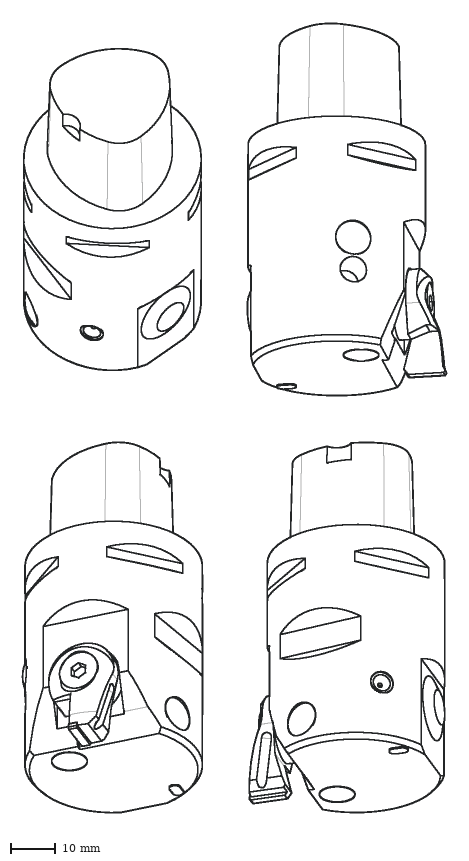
import cadquery as cq
import math


body_radius = 20.0
body_length = 53.2
bottom_chamfer_radial = 1.0
bottom_chamfer_height = 1.2

shank_length = 24.0
shank_mean_radius = 14.12
shank_lobe = 0.98
shank_taper = 1 / 40
lobe_half_angle = 28.0
key_diameter = 6.8
key_wall_y = -10.8
key_depth = 4.2

gripper_flat_distance = 17.67
gripper_z = -7.95
gripper_flat_height = 2.5
gripper_flank_slope = 0.56

seat_x = -17.15
seat_top_z = -22.9
axis_z = -39.0
wide_flat_angle = 10.0
wide_flat_height = 6.0

dial_flat_x = 18.15
dial_flat_top_z = -30.5

relief_foot_x = -12.5
steep_relief_top_z = -47.6
steep_relief_angle = 30.0
steep_relief_edge_y = 3.75
pocket_radius = 8.15
pocket_floor_x = -14.05

pad_length = 4.4
pad_width = 2.6
pad_height = 0.3
pad_x = 13.25
pad_y = -9.9

plug_diameter = 8.02
plug_length = 5.0
plug_dome_height = 1.1
plug_rim_radius = 19.45
plug_angle = 21.0
front_plug_z = -46.5
back_plug_z = -28.7
bottom_plug_x = -7.0
bottom_plug_y = 7.95
bottom_plug_rim_z = -53.05
side_hole_diameter = 6.0
side_hole_z = -36.3
side_hole_depth = 10.0

lock_diameter = 5.25
lock_length = 8.0
lock_angle = 35.0
lock_end_radius = 19.6
lock_cup_diameter = 4.0
lock_cup_depth = 1.3
lock_bore_diameter = 1.0
lock_bore_depth = 1.0

dial_base_diameter = 14.75
dial_top_diameter = 8.0
dial_height = 1.6

cutter_radius = 7.9
cutter_front_radius = 16.5
cutter_bevel_x = -19.66
cutter_head_x = -21.7
cutter_relief_z = -51.9
cutter_relief_x = -24.3
cutter_edge_x = -24.6
lip_top_z = -54.5
lip_tip_z = -55.6
lip_width = 2.0
lip_depth = 2.5
cutter_flare_top_z = -48.0
cutter_heel_x = -15.55
cutter_heel_z = -54.7
cutter_edge_y = 1.1
cutter_bottom_z = -56.0
cutter_tip_x = -25.0
head_lip_z = -47.7
head_lip_rise = 1.6
head_side_top = (7.6, -41.2)
head_side_middle = (6.8, -43.8)
head_side_bottom = (4.9, head_lip_z)
blade_side_top = (-7.7, -40.8)
blade_side_bottom = (-5.1, -53.2)
blade_corner_y = -3.4
blade_bottom_z = -55.25
coolant_groove_diameter = 2.4
coolant_groove_start = (-18.9, -7.3, -44.1)
coolant_groove_end = (-21.0, -4.9, -55.0)
countersink_depth = 4.0

screw_head_diameter = 9.2
screw_face_x = -21.5
screw_head_thickness = 2.5
screw_shank_diameter = 5.0
screw_end_x = pocket_floor_x + 8.0
screw_hex_diameter = 3.9
screw_hex_depth = 1.8

big = 60.0
bore_overrun = 3.0


def radial_plane(angle, distance, z):
    """Plane at a distance from the Z axis, facing outward; angle in degrees from +X."""
    direction = (math.cos(math.radians(angle)), math.sin(math.radians(angle)), 0)
    origin = (distance * direction[0], distance * direction[1], z)
    tangent = (-direction[1], direction[0], 0)
    return cq.Plane(origin=origin, xDir=tangent, normal=direction)


def profile_xz(points, y_low, y_high):
    """Closed X-Z polygon extruded between two Y levels."""
    return cq.Workplane("XZ", origin=(0, y_high, 0)).polyline(points).close().extrude(y_high - y_low)


def flank_cut(angle, distance, z_top, z_bottom, slope_top, slope_bottom):
    """Tool that mills a flat at a distance from the axis, with sloping upper and lower flanks."""
    depth = body_radius + 1 - distance
    points = [
        (distance, z_top),
        (distance, z_bottom),
        (distance + depth, z_bottom - slope_bottom * depth),
        (distance + depth, z_top + slope_top * depth),
    ]
    return profile_xz(points, -body_radius, body_radius).rotate((0, 0, 0), (0, 0, 1), angle)


def lobe_point(normal_angle, mean_radius):
    """Point of the constant-width three-lobed curve whose normal has the given angle (degrees)."""
    phi = math.radians(normal_angle)
    from_lobe = 3 * (phi - math.pi / 2)
    support = mean_radius + shank_lobe * math.cos(from_lobe)
    slope = -3 * shank_lobe * math.sin(from_lobe)
    x = support * math.cos(phi) - slope * math.sin(phi)
    y = support * math.sin(phi) + slope * math.cos(phi)
    return (x, y)


def add_lobed_outline(work, mean_radius):
    """Lobed outline: an arc round each lobe and an arc along each side."""
    lobe_angles = [90, 210, 330]
    work = work.moveTo(*lobe_point(lobe_angles[0] - lobe_half_angle, mean_radius))
    for lobe in lobe_angles:
        lobe_end = lobe_point(lobe + lobe_half_angle, mean_radius)
        side_end = lobe_point(lobe + 120 - lobe_half_angle, mean_radius)
        work = work.threePointArc(lobe_point(lobe, mean_radius), lobe_end)
        work = work.threePointArc(lobe_point(lobe + 60, mean_radius), side_end)
    return work.close()


def make_shank():
    top_radius = shank_mean_radius - shank_taper * shank_length
    shank = add_lobed_outline(cq.Workplane("XY"), shank_mean_radius)
    shank = add_lobed_outline(shank.workplane(offset=shank_length), top_radius).loft(ruled=True)
    key_y = key_wall_y - key_diameter / 2
    key = (
        cq.Workplane("XY", origin=(0, key_y, shank_length - key_depth))
        .circle(key_diameter / 2)
        .extrude(key_depth)
    )
    return shank.cut(key)


plug_planes = [
    radial_plane(270 - plug_angle, plug_rim_radius, front_plug_z),
    radial_plane(90 + plug_angle, plug_rim_radius, back_plug_z),
    cq.Plane(origin=(bottom_plug_x, bottom_plug_y, bottom_plug_rim_z), normal=(0, 0, -1)),
]
lock_plane = radial_plane(270 + lock_angle, lock_end_radius, axis_z)


def bore(plane, diameter, depth):
    """Round hole tool reaching a depth below the plane and clear of the part above it."""
    return cq.Workplane(plane).workplane(offset=-depth).circle(diameter / 2).extrude(depth + bore_overrun)


def make_plug(plane):
    """Round plug with a domed outer end; its rim lies in the plane."""
    half = plug_diameter / 2
    sphere_radius = (half**2 + plug_dome_height**2) / (2 * plug_dome_height)
    barrel = cq.Workplane(plane).workplane(offset=-plug_length).circle(half)
    barrel = barrel.extrude(plug_length + plug_dome_height)
    ball = cq.Workplane(plane).workplane(offset=plug_dome_height - sphere_radius).sphere(sphere_radius)
    return barrel.intersect(ball)


def make_lock_screw():
    screw = cq.Workplane(lock_plane).workplane(offset=-lock_length).circle(lock_diameter / 2)
    screw = screw.extrude(lock_length)
    cup = (
        cq.Workplane(lock_plane)
        .circle(lock_cup_diameter / 2)
        .workplane(offset=-lock_cup_depth)
        .circle(lock_bore_diameter / 2)
        .loft()
    )
    centre = cq.Workplane(lock_plane).circle(lock_bore_diameter / 2)
    centre = centre.extrude(-lock_cup_depth - lock_bore_depth)
    return screw.cut(cup).cut(centre)


def make_dial():
    return (
        cq.Workplane("YZ", origin=(dial_flat_x, 0, axis_z))
        .circle(dial_base_diameter / 2)
        .workplane(offset=dial_height)
        .circle(dial_top_diameter / 2)
        .loft()
    )


def make_clamp_screw():
    """Full screw without its socket, which also serves as the tool for its hole."""
    start = cq.Workplane("YZ", origin=(screw_face_x, 0, axis_z))
    head = start.circle(screw_head_diameter / 2).extrude(screw_head_thickness)
    shank = start.circle(screw_shank_diameter / 2).extrude(screw_end_x - screw_face_x)
    return head.union(shank)


def cut_hex_socket(screw):
    socket = cq.Workplane("YZ", origin=(screw_face_x, 0, axis_z)).transformed(rotate=(0, 0, 90))
    return screw.cut(socket.polygon(6, screw_hex_diameter).extrude(screw_hex_depth))


def make_cutter_outline():
    """Outline across Y-Z: round head running down into the narrow cutting blade."""
    head_top = (0, axis_z + cutter_radius)
    lip_side_y = cutter_edge_y - lip_width
    return (
        cq.Workplane("YZ", origin=(cutter_tip_x, 0, 0))
        .moveTo(*blade_side_top)
        .threePointArc(head_top, head_side_top)
        .threePointArc(head_side_middle, head_side_bottom)
        .lineTo(cutter_edge_y, head_lip_z)
        .lineTo(cutter_edge_y, cutter_bottom_z)
        .lineTo(lip_side_y, cutter_bottom_z)
        .lineTo(lip_side_y, blade_bottom_z)
        .lineTo(blade_corner_y, blade_bottom_z)
        .lineTo(*blade_side_bottom)
        .close()
        .extrude(pocket_floor_x - cutter_tip_x)
    )


def add_cutter_section(work, front_x, back_x):
    """Section across the cutter: straight back and a convex arc in front."""
    half = pocket_radius
    side_x = front_x + cutter_front_radius - math.sqrt(cutter_front_radius**2 - half**2)
    work = work.moveTo(back_x, -half).lineTo(side_x, -half)
    return work.threePointArc((front_x, 0), (side_x, half)).lineTo(back_x, half).close()


def make_cutter_front(stations, ruled):
    """Loft of cutter sections; each station is (Z, front X on the centre line)."""
    level = stations[0][0]
    work = cq.Workplane("XY", origin=(0, 0, level))
    for z, front_x in stations:
        work = add_cutter_section(work.workplane(offset=z - level), front_x, pocket_floor_x)
        level = z
    return work.loft(ruled=ruled)


def make_cutter_blank():
    """Cutter block whose front leans outward toward the edge and whose back flares below the head."""
    head_stations = [
        (-30.0, cutter_head_x),
        (-34.0, cutter_head_x),
        (-38.0, cutter_head_x),
        (-40.3, -21.9),
        (-42.8, -22.7),
        (-45.6, -23.45),
        (-48.8, -24.0),
        (cutter_relief_z, cutter_relief_x),
    ]
    edge_stations = [(cutter_relief_z, cutter_relief_x), (cutter_bottom_z, cutter_edge_x)]
    blank = make_cutter_front(head_stations, False).union(make_cutter_front(edge_stations, True))
    behind = [
        (seat_x, 0),
        (seat_x, cutter_flare_top_z),
        (cutter_heel_x, cutter_heel_z),
        (cutter_heel_x - 1, cutter_bottom_z),
        (0, cutter_bottom_z),
        (0, 0),
    ]
    return blank.cut(profile_xz(behind, -big, big))


def add_cutting_lip(cutter):
    """Pointed lip that carries the cutting edge at the foot of the blade."""
    lip = [
        (cutter_edge_x, lip_top_z),
        (cutter_tip_x, lip_tip_z),
        (cutter_edge_x, cutter_bottom_z),
        (cutter_edge_x + lip_depth, cutter_bottom_z),
        (cutter_edge_x + lip_depth, lip_top_z),
    ]
    return cutter.union(profile_xz(lip, cutter_edge_y - lip_width, cutter_edge_y))


def cut_head_bevel(cutter):
    """Conical bevel round the upper half of the head."""
    inset = 1.0
    cone_height = cutter_radius + inset
    cone = cq.Workplane(
        cq.Solid.makeCone(
            cone_height, 0, cone_height,
            cq.Vector(cutter_bevel_x + inset, 0, axis_z), cq.Vector(-1, 0, 0),
        )
    )
    block = cq.Workplane("XY", origin=(cutter_bevel_x - cutter_radius, 0, axis_z))
    block = block.box(cutter_radius, big, big, centered=(False, True, False))
    return cutter.cut(block.cut(cone))


def cut_chip_face(cutter):
    """Sloping face under the head, beside the blade."""
    chip = [
        (cutter_tip_x, head_lip_z + head_lip_rise),
        (screw_face_x, head_lip_z + head_lip_rise),
        (seat_x, head_lip_z),
        (cutter_tip_x, head_lip_z),
    ]
    return cutter.cut(profile_xz(chip, cutter_edge_y, pocket_radius))


def cut_coolant_groove(cutter):
    """Round-ended groove down the -Y side of the blade."""
    start = cq.Vector(*coolant_groove_start)
    run = cq.Vector(*coolant_groove_end) - start
    groove = cq.Workplane(cq.Plane(origin=start.toTuple(), normal=run.toTuple()))
    groove = groove.circle(coolant_groove_diameter / 2).extrude(run.Length)
    tip = cq.Workplane("XY", origin=start.toTuple()).sphere(coolant_groove_diameter / 2)
    return cutter.cut(groove).cut(tip)


def cut_screw_seat(cutter):
    """Screw hole with a 45 degree countersink opening outward from the screw face."""
    sink = (
        cq.Workplane("YZ", origin=(screw_face_x, 0, axis_z))
        .circle(screw_head_diameter / 2)
        .workplane(offset=-countersink_depth)
        .circle(screw_head_diameter / 2 + countersink_depth)
        .loft()
    )
    return cutter.cut(sink).cut(make_clamp_screw())


def make_cutter():
    cutter = make_cutter_outline().intersect(make_cutter_blank())
    cutter = cut_head_bevel(add_cutting_lip(cutter))
    boss = cq.Workplane("YZ", origin=(seat_x, 0, axis_z)).circle(cutter_radius)
    cutter = cutter.union(boss.extrude(pocket_floor_x - seat_x))
    return cut_screw_seat(cut_coolant_groove(cut_chip_face(cutter)))


def make_body():
    """Cylindrical body with its foot chamfer, foot pad and shank."""
    body = cq.Workplane("XY").circle(body_radius).extrude(-body_length)
    body = body.faces("<Z").chamfer(bottom_chamfer_height, bottom_chamfer_radial)
    pad = cq.Workplane("XY", origin=(pad_x, pad_y, -body_length)).slot2D(pad_length, pad_width)
    return body.union(pad.extrude(-pad_height)).union(make_shank())


def cut_gripper_slots(body):
    """Four slots for the tool changer, on the diagonals."""
    top = gripper_z + gripper_flat_height / 2
    bottom = gripper_z - gripper_flat_height / 2
    for angle in (45, 135, 225, 315):
        slot = flank_cut(angle, gripper_flat_distance, top, bottom, gripper_flank_slope, gripper_flank_slope)
        body = body.cut(slot)
    return body


def cut_flats(body):
    """Wide flat on -Y, cutter seat on -X and dial flat on +X, all with 45 degree run-outs."""
    wide_bottom_z = seat_top_z - wide_flat_height
    body = body.cut(flank_cut(270 - wide_flat_angle, -seat_x, seat_top_z, wide_bottom_z, 1, 1))
    body = body.cut(flank_cut(180, -seat_x, seat_top_z, -big, 1, 0))
    return body.cut(flank_cut(0, dial_flat_x, dial_flat_top_z, -big, 1, 0))


def cut_reliefs(body):
    """Sloping relief below the seat, and the steeper one under the cutting edge."""
    low_z = -big
    slope = (relief_foot_x - seat_x) / (axis_z + body_length)
    low_x = seat_x + slope * (axis_z - low_z)
    relief = [(seat_x, axis_z), (-big, axis_z), (-big, low_z), (low_x, low_z)]
    body = body.cut(profile_xz(relief, -big, big))
    top_z = steep_relief_top_z
    top_x = seat_x + slope * (axis_z - top_z)
    low_x = top_x + math.tan(math.radians(steep_relief_angle)) * (top_z - low_z)
    steep = [(top_x, top_z), (-big, top_z), (-big, low_z), (low_x, low_z)]
    return body.cut(profile_xz(steep, -big, steep_relief_edge_y))


def cut_cutter_pocket(body):
    """Round-topped pocket, open at its foot, that takes the cutter boss, with the screw hole in it."""
    depth = pocket_floor_x + body_radius
    start = cq.Workplane("YZ", origin=(pocket_floor_x, 0, axis_z))
    round_top = start.circle(pocket_radius).extrude(-depth)
    length = axis_z + body_length
    straight = start.center(0, -length / 2).rect(2 * pocket_radius, length).extrude(-depth)
    return body.cut(round_top).cut(straight).cut(make_clamp_screw())


def cut_bores(body):
    """Bores for the plugs and lock screw, and the open hole below the back plug."""
    for plane in plug_planes:
        body = body.cut(bore(plane, plug_diameter, plug_length))
    body = body.cut(bore(lock_plane, lock_diameter, lock_length))
    side = radial_plane(90 + plug_angle, body_radius, side_hole_z)
    return body.cut(bore(side, side_hole_diameter, side_hole_depth))


def make_housing():
    body = cut_flats(cut_gripper_slots(make_body()))
    return cut_bores(cut_cutter_pocket(cut_reliefs(body)))


housing = make_housing()
cutter = make_cutter()
clamp_screw = cut_hex_socket(make_clamp_screw())
dial = make_dial()
lock_screw = make_lock_screw()
plugs = [make_plug(plane) for plane in plug_planes]

result = cq.Compound.makeCompound([
    housing.val(),
    cutter.val(),
    clamp_screw.val(),
    dial.val(),
    lock_screw.val(),
    *[plug.val() for plug in plugs],
])